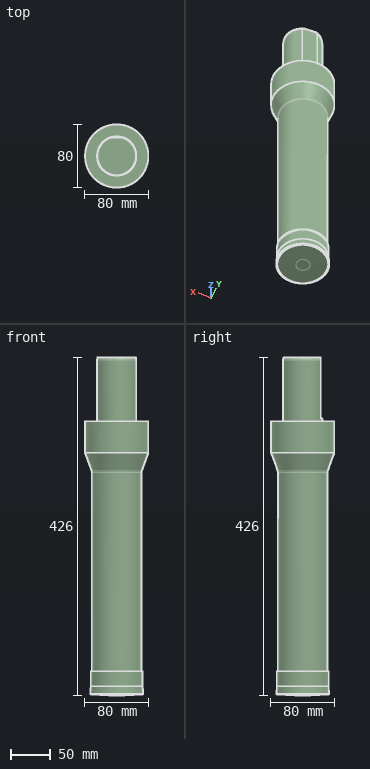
import cadquery as cq

TOTAL_LENGTH = 426.0
SHANK_TOP = TOTAL_LENGTH
COLLAR_TOP = 346.0
COLLAR_BOTTOM = 306.0
TAPER_BOTTOM = 282.5
HEAD_TOP = 30.5
CUTTER_TOP = 12.0
RIM_BOTTOM = 2.0
FACE_EDGE = 1.3

SHANK_DIAMETER = 50.0
COLLAR_DIAMETER = 80.0
BODY_DIAMETER = 63.0
HEAD_DIAMETER = 65.5
RIM_DIAMETER = 67.5
FACE_DIAMETER = 64.0
TIP_DIAMETER = 18.0

TAPER_FILLET = 5.0

CHAMFER_WIDTH = 0.65
CHAMFER_HEIGHT = 3.0
FLAT_DEPTH = 2.0
FLAT_BOTTOM = COLLAR_TOP + 2.0


def revolve_profile(points):
    """Revolve a closed (radius, height) outline about the Z axis."""
    outline = cq.Workplane("XZ").polyline(points).close()
    return outline.revolve(360, (0, 0, 0), (0, 1, 0))


def make_shank_flat():
    """Block that cuts the flat on the +Y side of the shank, with a 45 degree run-out."""
    flat_y = SHANK_DIAMETER / 2 - FLAT_DEPTH
    outer_y = SHANK_DIAMETER
    section = [
        (flat_y, FLAT_BOTTOM + FLAT_DEPTH),
        (flat_y + FLAT_DEPTH, FLAT_BOTTOM),
        (outer_y, FLAT_BOTTOM),
        (outer_y, SHANK_TOP),
        (flat_y, SHANK_TOP),
    ]
    outline = cq.Workplane("YZ").polyline(section).close()
    return outline.extrude(SHANK_DIAMETER / 2, both=True)


def make_holder():
    """Shank, collar, taper, long cylindrical body and the wider head at its lower end."""
    shank_radius = SHANK_DIAMETER / 2
    collar_radius = COLLAR_DIAMETER / 2
    body_radius = BODY_DIAMETER / 2
    head_radius = HEAD_DIAMETER / 2
    profile = [
        (0, CUTTER_TOP),
        (head_radius, CUTTER_TOP),
        (head_radius, HEAD_TOP),
        (body_radius, HEAD_TOP),
        (body_radius, TAPER_BOTTOM),
        (collar_radius, COLLAR_BOTTOM),
        (collar_radius, COLLAR_TOP),
        (shank_radius, COLLAR_TOP),
        (shank_radius, SHANK_TOP - CHAMFER_HEIGHT),
        (shank_radius - CHAMFER_WIDTH, SHANK_TOP),
        (0, SHANK_TOP),
    ]
    holder = revolve_profile(profile)
    taper_edge = cq.selectors.BoxSelector(
        (-BODY_DIAMETER, -BODY_DIAMETER, TAPER_BOTTOM - TAPER_FILLET),
        (BODY_DIAMETER, BODY_DIAMETER, TAPER_BOTTOM + TAPER_FILLET),
    )
    holder = holder.edges("%CIRCLE").edges(taper_edge).fillet(TAPER_FILLET)
    return holder.cut(make_shank_flat())


def make_cutter():
    """Cutter below the head: flares to a bevelled rim and ends in a shallow cone with a flat tip."""
    profile = [
        (0, CUTTER_TOP),
        (HEAD_DIAMETER / 2, CUTTER_TOP),
        (RIM_DIAMETER / 2, RIM_BOTTOM),
        (FACE_DIAMETER / 2, FACE_EDGE),
        (TIP_DIAMETER / 2, 0),
        (0, 0),
    ]
    return revolve_profile(profile)


holder = make_holder()
cutter = make_cutter()
result = cq.Compound.makeCompound([holder.val(), cutter.val()])